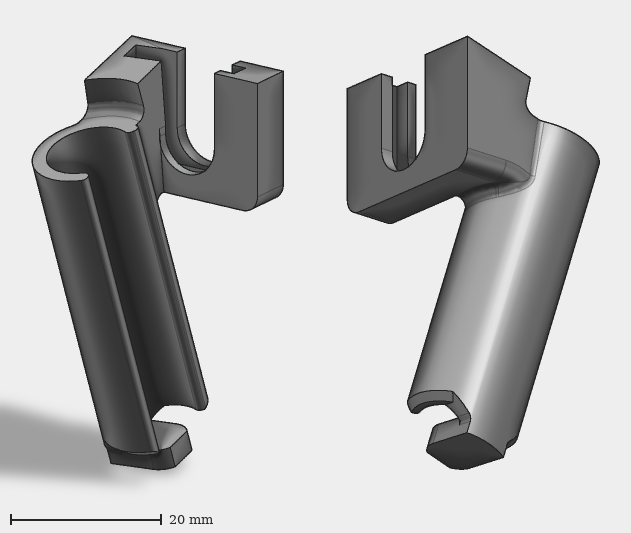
import cadquery as cq
import math

HOOK_WIDTH = 24.5
HOOK_HEIGHT = 18.4
HOOK_THICKNESS = 6.0
LEFT_LEG_WIDTH = 8.65
SLOT_WIDTH = 8.9
SLOT_DEPTH = 15.1
SLOT_RADIUS = SLOT_WIDTH / 2
CORNER_RADIUS = 2.4

GROOVE_LEFT = 1.95
GROOVE_WIDTH = 17.75
GROOVE_BACK = 1.9
GROOVE_THICKNESS = 2.7
GROOVE_DEPTH = SLOT_DEPTH + 0.6

SIDE_SLOPE = 0.082
FORWARD_SLOPE = 0.278
MOUTH_CENTRE = (5.6, -18.05, -9.75)
TUBE_RADIUS = 7.75
BORE_RADIUS = 5.8
TUBE_LENGTH = 43.6
RIM_CHAMFER = 1.05
LIP_ANGLE = 57.6
LIP_ROUNDING = 0.85
WALL = TUBE_RADIUS - BORE_RADIUS
WALL_MIDDLE = BORE_RADIUS + WALL / 2

TAB_WIDTH = 6.75
TAB_LENGTH = 4.4
FLARE_WIDTH = 3.6
FLARE_HEIGHT = 4.1
FLARE_FOOT = 2.4
FLARE_RADIUS = 1.7
PLUG_HEIGHT = 3.05
PLUG_REACH = 2.65
TAB_END = -TUBE_LENGTH - TAB_LENGTH

BLOCK_SIDE = 3.05
BLOCK_TOP = 5.0
BLEND_RADIUS = 1.3
CORE_LENGTH = 22.9
SWEEP_START = 6.75
SWEEP_RADIUS = 6.9
SWEEP_ANGLE = 54.0
BLOCK_FRONT = -MOUTH_CENTRE[1]
CLEARANCE_RADIUS = 10.0
CLEARANCE_FILLET = 1.5

REACH = 57.25
MARGIN = 0.3

AXIS = cq.Vector(-SIDE_SLOPE, -FORWARD_SLOPE, 1)
ACROSS = cq.Vector(1, 0, SIDE_SLOPE)
TUBE_FRAME = cq.Location(cq.Plane(MOUTH_CENTRE, ACROSS, AXIS))


def on_tube(body):
    """Move a body built around the Z axis, tube mouth at Z = 0, onto the leaning tube."""
    return cq.Workplane(body.val().moved(TUBE_FRAME))


def box_between(low, high):
    size = [b - a for a, b in zip(low, high)]
    return cq.Workplane("XY").box(*size, centered=False).translate(low)



def tube_wall():
    """C-shaped wall with rounded lips and a chamfered lower rim."""
    outside = cq.Workplane("XY").circle(TUBE_RADIUS).extrude(-TUBE_LENGTH).faces("<Z").chamfer(RIM_CHAMFER)
    opening_x = 2 * TUBE_RADIUS
    opening_y = opening_x * math.tan(math.radians(LIP_ANGLE))
    opening = (
        cq.Workplane("XY")
        .polyline([(0, 0), (opening_x, -opening_y), (opening_x, opening_y)])
        .close()
        .extrude(-TUBE_LENGTH)
    )
    wall = cq.Workplane("XY").circle(TUBE_RADIUS).circle(BORE_RADIUS).extrude(-TUBE_LENGTH).cut(opening)
    lips = cq.selectors.BoxSelector((0, -TUBE_RADIUS, -TUBE_LENGTH), (TUBE_RADIUS, TUBE_RADIUS, 0))
    return outside.intersect(wall.edges("|Z").edges(lips).fillet(LIP_ROUNDING))


def tab():
    """Wall carried on below the tube on the -X side, flaring into its end."""
    half = TAB_WIDTH / 2
    flare_low = TAB_END + FLARE_FOOT
    flare_high = flare_low + FLARE_HEIGHT
    outline = (
        cq.Workplane("YZ")
        .moveTo(-half, TAB_END)
        .lineTo(half, TAB_END)
        .lineTo(half, flare_low)
        .lineTo(half + FLARE_WIDTH, flare_high)
        .lineTo(-half - FLARE_WIDTH, flare_high)
        .lineTo(-half, flare_low)
        .close()
        .extrude(-TUBE_RADIUS)
    )
    corners = cq.selectors.BoxSelector(
        (-TUBE_RADIUS, -half - MARGIN, flare_low - MARGIN), (0, half + MARGIN, flare_low + MARGIN)
    )
    outline = outline.edges("|X").edges(corners).fillet(FLARE_RADIUS)
    ring = cq.Workplane("XY", origin=(0, 0, TAB_END)).circle(TUBE_RADIUS).circle(BORE_RADIUS)
    return outline.intersect(ring.extrude(TUBE_LENGTH))


def plug():
    """Round-ended stop across the bore, level with the end of the tab."""
    half = TAB_WIDTH / 2
    bottom = cq.Workplane("XY", origin=(0, 0, TAB_END))
    round_end = bottom.circle(half).extrude(PLUG_HEIGHT)
    shank = box_between((-TUBE_RADIUS, -half, TAB_END), (0, half, TAB_END + PLUG_HEIGHT))
    shank = shank.intersect(bottom.circle(WALL_MIDDLE).extrude(PLUG_HEIGHT))
    beyond = box_between((PLUG_REACH, -half, TAB_END), (half, half, TAB_END + PLUG_HEIGHT))
    return shank.union(round_end).cut(beyond)


def bore():
    """Cylinder clearing the block from the bore, ending halfway into the tube wall."""
    return cq.Workplane("XY").circle(WALL_MIDDLE).extrude(-TUBE_LENGTH)


def mouth_clearance():
    """Round relief above the tube mouth, filleted at its floor."""
    relief = cq.Workplane("XY").circle(CLEARANCE_RADIUS).extrude(REACH)
    return relief.faces("<Z").edges().fillet(CLEARANCE_FILLET)



def hook():
    """U-shaped plate with rounded lower corners."""
    slot_left = LEFT_LEG_WIDTH
    slot_right = LEFT_LEG_WIDTH + SLOT_WIDTH
    straight = SLOT_DEPTH - SLOT_RADIUS
    slot = (
        cq.Workplane("XZ")
        .moveTo(slot_left, 0)
        .lineTo(slot_left, -straight)
        .threePointArc((slot_left + SLOT_RADIUS, -SLOT_DEPTH), (slot_right, -straight))
        .lineTo(slot_right, 0)
        .close()
        .extrude(HOOK_THICKNESS)
    )
    plate = box_between((0, -HOOK_THICKNESS, -HOOK_HEIGHT), (HOOK_WIDTH, 0, 0))
    return plate.edges("|Y and <Z").fillet(CORNER_RADIUS).cut(slot)


def block():
    """Body reaching forward from the left leg, sweeping down and blended into the tube."""
    angle = math.radians(SWEEP_ANGLE)

    def underside(turn):
        return (
            -SWEEP_START - SWEEP_RADIUS * math.sin(turn),
            -HOOK_HEIGHT - SWEEP_RADIUS * (1 - math.cos(turn)),
        )

    body = (
        cq.Workplane("YZ")
        .lineTo(0, -HOOK_HEIGHT)
        .lineTo(*underside(0))
        .threePointArc(underside(angle / 2), underside(angle))
        .lineTo(-BLOCK_FRONT, -SLOT_DEPTH)
        .lineTo(-BLOCK_FRONT, 0)
        .close()
        .extrude(HOOK_WIDTH / 2)
    )
    sweep_end, sweep_low = underside(angle)
    lower_edges = cq.selectors.BoxSelector(
        (-MARGIN, sweep_end + MARGIN, sweep_low), (MARGIN, -MARGIN, MARGIN - HOOK_HEIGHT)
    )
    body = body.edges(lower_edges).fillet(CORNER_RADIUS)
    core = cq.Workplane("XY").circle(TUBE_RADIUS).extrude(-CORE_LENGTH)
    body = body.union(on_tube(core)).cut(beside_block())
    seam = cq.selectors.BoxSelector(
        (-MARGIN, sweep_end - MARGIN, -HOOK_HEIGHT + CORNER_RADIUS), (MARGIN, -SWEEP_START, MOUTH_CENTRE[2])
    )
    body = body.edges(seam).fillet(BLEND_RADIUS)
    in_slot = box_between((LEFT_LEG_WIDTH, -HOOK_THICKNESS, -HOOK_HEIGHT), (HOOK_WIDTH, 0, 0))
    return body.cut(in_slot)


def beside_block():
    """Space to the right of the block, square to the tube."""
    return on_tube(box_between((BLOCK_SIDE, -REACH, -REACH), (REACH, REACH, REACH)))


def above_block():
    """Space above the sloping top, over the left leg only."""
    space = on_tube(box_between((-REACH, -REACH, BLOCK_TOP), (REACH, REACH, REACH)))
    return space.intersect(box_between((-REACH, -REACH, -REACH), (LEFT_LEG_WIDTH, REACH, REACH)))


def beside_leg():
    """Part of the left leg ahead of the groove that lies beyond the block side."""
    front = box_between((0, -HOOK_THICKNESS, -SLOT_DEPTH), (LEFT_LEG_WIDTH, -GROOVE_BACK, 0))
    return front.intersect(beside_block())


def groove():
    back = -GROOVE_BACK
    return box_between(
        (GROOVE_LEFT, back - GROOVE_THICKNESS, -GROOVE_DEPTH), (GROOVE_LEFT + GROOVE_WIDTH, back, 0)
    )



tube = tube_wall().union(tab()).union(plug())
mount = hook().cut(beside_leg()).union(block()).cut(above_block()).cut(groove())
mount = mount.cut(on_tube(mouth_clearance())).cut(on_tube(bore()))
result = mount.union(on_tube(tube))